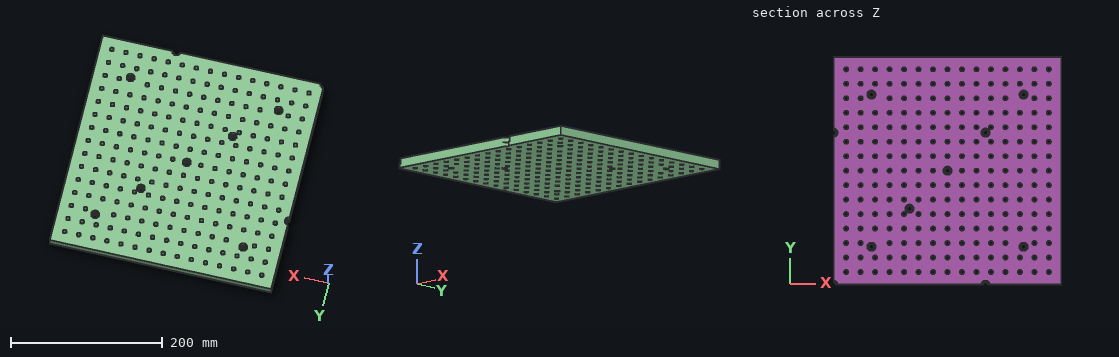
import cadquery as cq

plate_side = 300.0
plate_thickness = 12.5

grid_count = 15
grid_span = 267.0
grid_pitch = grid_span / (grid_count - 1)
grid_hole_diameter = 5.0

screw_hole_diameter = 6.5
counterbore_diameter = 10.5
counterbore_depth = 7.0
screw_pitch = 50.0

breakout_radius = 1.2

corner_screw = 2 * screw_pitch
edge_screw = 3 * screw_pitch
screw_places = [
    (0, 0),
    (corner_screw, corner_screw),
    (corner_screw, -corner_screw),
    (-corner_screw, corner_screw),
    (-corner_screw, -corner_screw),
    (screw_pitch, screw_pitch),
    (-screw_pitch, -screw_pitch),
    (-edge_screw, screw_pitch),
    (screw_pitch, -edge_screw),
    (-edge_screw, -edge_screw),
]


def clears_screws(x, y):
    """True where a grid hole at (x, y) does not run into any counterbore."""
    clearance = (counterbore_diameter + grid_hole_diameter) / 2
    return all((x - sx) ** 2 + (y - sy) ** 2 > clearance**2 for sx, sy in screw_places)


def grid_places():
    """Centres of the grid holes, leaving out those that would meet a counterbore."""
    start = -grid_span / 2
    steps = [start + grid_pitch * i for i in range(grid_count)]
    return [(x, y) for x in steps for y in steps if clears_screws(x, y)]


def round_cutters(places, diameter, bottom):
    """Cylinders at the given places, from height bottom up to the top face."""
    return (
        cq.Workplane("XY", origin=(0, 0, bottom))
        .pushPoints(places)
        .circle(diameter / 2)
        .extrude(plate_thickness - bottom)
    )


plate = cq.Workplane("XY").box(plate_side, plate_side, plate_thickness, centered=(True, True, False))
plate = plate.cut(round_cutters(grid_places(), grid_hole_diameter, 0))
plate = plate.cut(round_cutters(screw_places, screw_hole_diameter, 0))
plate = plate.cut(round_cutters(screw_places, counterbore_diameter, plate_thickness - counterbore_depth))

breakout_edges = plate.faces("<X or <Y").edges("|Z and (not >X) and (not >Y)")

result = breakout_edges.fillet(breakout_radius)